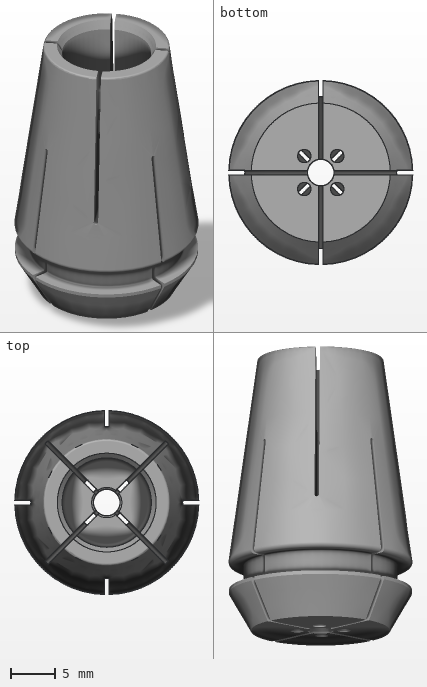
import cadquery as cq
import math

height = 31.5
max_diameter = 20.9
taper_angle = math.radians(8.0)
taper_base_z = 7.53
taper_base_fillet = 0.45
mouth_fillet = 0.25

groove_diameter = 17.48
flange_top_z = 4.75
groove_floor_fillet = 0.2
groove_roof_fillet = 0.1
flange_diameter = 20.8
flange_rim_z = 4.35
nose_angle = math.radians(30.0)

bore_diameter = 3.0
bore_chamfer = 0.22
counterbore_diameter = 10.15
counterbore_depth = 9.0
counterbore_fillet = 0.4
lead_in_width = 0.55
lead_in_depth = 0.95

slot_width = 0.5
mouth_slot_angles = (45, 135)
nose_slot_angles = (0, 90)
blade_radius = 59.85
mouth_slot_floor_z = 12.73
nose_slot_roof_z = 21.6

relief_hole_diameter = 1.5
relief_hole_offset = 2.65
relief_hole_count = 2 * len(mouth_slot_angles)
relief_hole_depth = mouth_slot_floor_z + slot_width

corner_overhang = taper_base_fillet * (math.tan(taper_angle) + 1 / math.cos(taper_angle) - 1)
taper_base_radius = max_diameter / 2 + corner_overhang
mouth_radius = taper_base_radius - (height - taper_base_z) * math.tan(taper_angle)
nose_radius = flange_diameter / 2 - flange_rim_z * math.tan(nose_angle)


def edges_within(z, radius):
    """Selector for the edges at the given height that lie within the given radius."""
    tolerance = 0.003
    reach = radius + tolerance
    return cq.selectors.BoxSelector(
        (-reach, -reach, z - tolerance), (reach, reach, z + tolerance), boundingbox=True
    )


def make_body():
    """Solid of revolution: nose cone, flange rim, groove and long taper."""
    profile = [
        (0, 0),
        (nose_radius, 0),
        (flange_diameter / 2, flange_rim_z),
        (flange_diameter / 2, flange_top_z),
        (groove_diameter / 2, flange_top_z),
        (groove_diameter / 2, taper_base_z),
        (taper_base_radius, taper_base_z),
        (mouth_radius, height),
        (0, height),
    ]
    body = cq.Workplane("XZ").polyline(profile).close().revolve(360, (0, 0), (0, 1))
    body = body.edges(edges_within(flange_top_z, groove_diameter / 2)).fillet(groove_floor_fillet)
    body = body.faces(">Z").edges().fillet(mouth_fillet)
    base_corner = edges_within(taper_base_z, taper_base_radius)
    groove_corner = edges_within(taper_base_z, groove_diameter / 2)
    body = body.edges(base_corner - groove_corner).fillet(taper_base_fillet)
    return body.edges(groove_corner).fillet(groove_roof_fillet)


def make_cavity():
    """Through bore with a chamfered entry, below a stepped counterbore with a lead-in."""
    bore_radius = bore_diameter / 2
    counterbore_radius = counterbore_diameter / 2
    floor_z = height - counterbore_depth
    profile = [
        (0, 0),
        (bore_radius, 0),
        (bore_radius, floor_z - bore_chamfer),
        (bore_radius + bore_chamfer, floor_z),
        (counterbore_radius, floor_z),
        (counterbore_radius, height - lead_in_depth),
        (counterbore_radius + lead_in_width, height),
        (0, height),
    ]
    cavity = cq.Workplane("XZ").polyline(profile).close().revolve(360, (0, 0), (0, 1))
    floor_corner = edges_within(floor_z, counterbore_radius)
    bore_rim = edges_within(floor_z, bore_radius + bore_chamfer)
    return cavity.edges(floor_corner - bore_rim).fillet(counterbore_fillet)


def make_blade(centre_z, angle):
    """Disc with a fully rounded rim, upright and turned about Z by the angle in degrees."""
    half_width = slot_width / 2
    straight_radius = blade_radius - half_width
    blade = (
        cq.Workplane("XY")
        .moveTo(0, -half_width)
        .lineTo(straight_radius, -half_width)
        .threePointArc((blade_radius, 0), (straight_radius, half_width))
        .lineTo(0, half_width)
        .close()
        .revolve(360, (0, 0), (0, 1))
    )
    return blade.rotate((0, 0, 0), (0, 0, 1), angle).translate((0, 0, centre_z))


def make_relief_holes():
    """Ring of blind holes in line with the mouth slots."""
    return (
        cq.Workplane("XY")
        .polarArray(relief_hole_offset, mouth_slot_angles[0], 360, relief_hole_count)
        .circle(relief_hole_diameter / 2)
        .extrude(relief_hole_depth)
    )


result = make_body().cut(make_cavity()).cut(make_relief_holes())
for mouth_slot_angle in mouth_slot_angles:
    result = result.cut(make_blade(mouth_slot_floor_z + blade_radius, mouth_slot_angle))
for nose_slot_angle in nose_slot_angles:
    result = result.cut(make_blade(nose_slot_roof_z - blade_radius, nose_slot_angle))